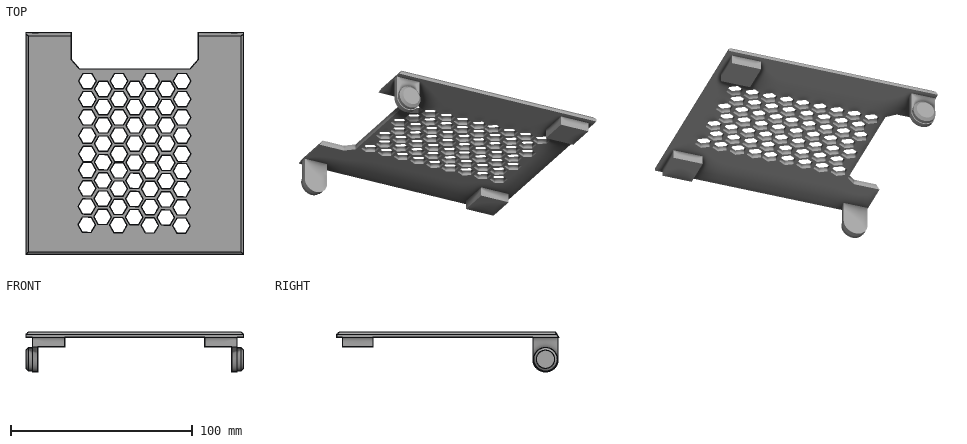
import cadquery as cq
import math

plate_width = 120.0
plate_length = 122.4
plate_thickness = 3.0
edge_chamfer = 1.5
end_bevel = 2.0

notch_width = 69.8
notch_depth = 20.1
notch_corner_width = 4.4
notch_corner_height = 5.0

hole_pitch = 10.0
hole_corner_diameter = 9.5
column_pitch = hole_pitch * math.sqrt(3) / 2
column_count = 7
long_column_rows = 5
short_column_rows = 4
short_column_drop = 4.4
upper_field_y = 34.4
lower_field_y = -45.0
lower_field_tilt = -0.56
tilt_pivot_y = -7.3

support_outer_x = 56.4
foot_width = 18.0
foot_length = 17.0
foot_height = 5.1
foot_center_y = -49.5

total_height = 22.0
ear_thickness = 3.0
ear_width = 14.0
ear_center_y = 53.8
ear_radius = ear_width / 2
pin_center_z = ear_radius - (total_height - plate_thickness)
pin_diameter = 13.0
pin_length = plate_width / 2 - support_outer_x
pin_chamfer = 1.5


def make_plate():
    """Plate with chamfered sides and -Y end, and a sloped +Y end."""
    plate = cq.Workplane("XY").box(
        plate_width, plate_length, plate_thickness, centered=(True, True, False)
    )
    plate = plate.faces(">Z").edges("<X or >X or <Y").chamfer(edge_chamfer)
    half_length = plate_length / 2
    end_wedge = (
        cq.Workplane("YZ")
        .moveTo(half_length, 0)
        .lineTo(half_length, plate_thickness)
        .lineTo(half_length - end_bevel, plate_thickness)
        .close()
        .extrude(plate_width / 2, both=True)
    )
    return plate.cut(end_wedge)


def make_notch():
    """Open notch with cut inner corners."""
    half_width = notch_width / 2
    floor_half_width = half_width - notch_corner_width
    end_y = plate_length / 2
    floor_y = end_y - notch_depth
    corner_y = floor_y + notch_corner_height
    outline = [
        (-half_width, end_y),
        (-half_width, corner_y),
        (-floor_half_width, floor_y),
        (floor_half_width, floor_y),
        (half_width, corner_y),
        (half_width, end_y),
    ]
    return cq.Workplane("XY").polyline(outline).close().extrude(plate_thickness)


def make_hole_field(start_y, row_direction, long_rows):
    """Hexagonal holes in alternating long and short columns, from start_y along row_direction."""
    centers = []
    for column in range(column_count):
        x = (column - (column_count - 1) / 2) * column_pitch
        is_short = column % 2 == 1
        rows = short_column_rows if is_short else long_rows
        offset = short_column_drop if is_short else 0
        for row in range(rows):
            centers.append((x, start_y + row_direction * (offset + row * hole_pitch)))
    return (
        cq.Workplane("XY")
        .pushPoints(centers)
        .polygon(6, hole_corner_diameter)
        .extrude(plate_thickness)
    )


def make_foot():
    """Rectangular foot on the +X side."""
    return cq.Workplane("XY").box(
        foot_width, foot_length, foot_height, centered=(True, True, False)
    ).translate((support_outer_x - foot_width / 2, foot_center_y, -foot_height))


def make_ear():
    """Round-ended ear on the +X side."""
    return (
        cq.Workplane("YZ", origin=(support_outer_x - ear_thickness, ear_center_y, 0))
        .moveTo(-ear_radius, 0)
        .lineTo(-ear_radius, pin_center_z)
        .threePointArc((0, pin_center_z - ear_radius), (ear_radius, pin_center_z))
        .lineTo(ear_radius, 0)
        .close()
        .extrude(ear_thickness)
    )


def make_pin():
    """Chamfered pin pointing outward from the +X ear."""
    radius = pin_diameter / 2
    profile = [
        (0, 0),
        (0, radius),
        (pin_length - pin_chamfer, radius),
        (pin_length, radius - pin_chamfer),
        (pin_length, 0),
    ]
    return (
        cq.Workplane("XY")
        .polyline(profile)
        .close()
        .revolve(360, (0, 0, 0), (1, 0, 0))
        .translate((support_outer_x, ear_center_y, pin_center_z))
    )


upper_holes = make_hole_field(upper_field_y, -1, long_column_rows)
lower_holes = make_hole_field(lower_field_y, 1, long_column_rows - 1).rotate(
    (0, tilt_pivot_y, 0), (0, tilt_pivot_y, 1), lower_field_tilt
)

result = make_plate().cut(make_notch()).cut(upper_holes).cut(lower_holes)
for support in (make_foot(), make_ear(), make_pin()):
    result = result.union(support).union(support.mirror("YZ"))